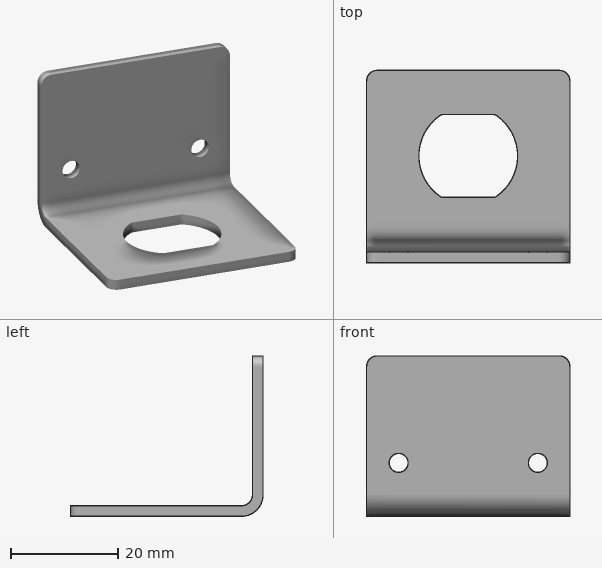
import cadquery as cq

width = 38.0
depth = 36.0
height = 30.0
thickness = 2.0
inner_bend_radius = 2.0
outer_bend_radius = inner_bend_radius + thickness
corner_radius = 2.0

opening_diameter = 18.4
opening_flat_distance = 15.4
opening_corner_radius = 1.0
opening_from_back_edge = 16.0

mount_hole_diameter = 3.5
mount_hole_spacing = 26.0
mount_hole_height = 10.0


def bent_sheet():
    """L-shaped sheet, centred on X, with its outer bend at Y = 0, Z = 0."""
    sheet = (
        cq.Workplane("YZ")
        .rect(depth, height)
        .extrude(width / 2, both=True)
        .translate((0, depth / 2, height / 2))
        .edges("|X and <Y and <Z")
        .fillet(outer_bend_radius)
    )
    inside = (
        cq.Workplane("YZ")
        .rect(depth, height)
        .extrude(width, both=True)
        .translate((0, depth / 2 + thickness, height / 2 + thickness))
        .edges("|X and <Y and <Z")
        .fillet(inner_bend_radius)
    )
    return sheet.cut(inside)


def round_free_corners(sheet):
    """Round the two free corners of the base and of the wall."""
    sheet = sheet.faces(">Y").edges("|Z").fillet(corner_radius)
    return sheet.faces(">Z").edges("|Y").fillet(corner_radius)


def base_opening():
    """Cutter for the opening: a cylinder trimmed by two flats along X, corners rounded."""
    cutter_length = 3 * thickness
    cylinder = cq.Workplane("XY").circle(opening_diameter / 2).extrude(cutter_length)
    flats = cq.Workplane("XY").rect(opening_diameter, opening_flat_distance).extrude(cutter_length)
    opening = cylinder.intersect(flats).edges("|Z").fillet(opening_corner_radius)
    center_y = depth - opening_from_back_edge
    return opening.translate((0, center_y, -thickness))


def mount_holes():
    """Cutters for the pair of holes through the wall."""
    half_spacing = mount_hole_spacing / 2
    return (
        cq.Workplane("XZ")
        .pushPoints([(side * half_spacing, mount_hole_height) for side in (-1, 1)])
        .circle(mount_hole_diameter / 2)
        .extrude(2 * thickness, both=True)
    )


bracket = round_free_corners(bent_sheet())
result = bracket.cut(base_opening()).cut(mount_holes())